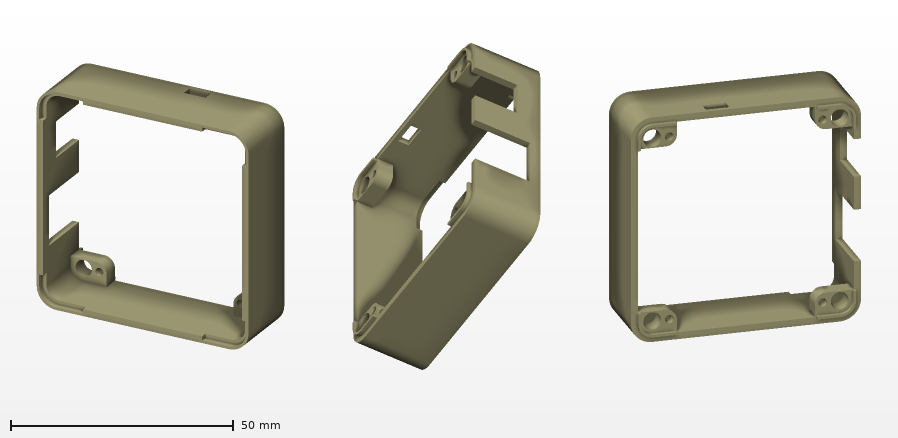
import cadquery as cq

side = 54.0
half = side / 2
total_depth = 18.0
lip_height = 1.0
body_depth = total_depth - lip_height
wall = 1.7
corner_radius = 5.0

boss_reach_x = 10.85
boss_reach_z = 7.35
boss_depth = 4.0
boss_radius = 2.7
large_hole_diameter = 4.15
small_hole_diameter = 2.0
hole_z = corner_radius
large_hole_x = corner_radius
small_hole_x = 9.0

rabbet_inset = 0.65
rabbet_reach_x = 11.8
rabbet_reach_z = 7.85
rabbet_depth = 1.5

lip_inset = 1.45
lip_thickness = 0.65
lip_reach_x = 10.5
lip_reach_z = 7.4

slot_x = 6.25
slot_width = 5.55
slot_length = 2.65
slot_back_margin = 1.2

left_notches = [
    (7.45, 16.45, 10.95),
    (-12.9, -0.5, 14.3),
]


def box_between(x_range, y_range, z_range):
    """Axis-aligned box given by its limits on each axis."""
    lows, highs = zip(x_range, y_range, z_range)
    lengths = [high - low for low, high in zip(lows, highs)]
    return cq.Workplane("XY").box(*lengths, centered=False).translate(lows)


def rounded_square(inset, y_start, y_end):
    """Prism along Y whose outline lies `inset` inside the outer outline."""
    reach = half - inset
    prism = box_between((-reach, reach), (y_start, y_end), (-reach, reach))
    return prism.edges("|Y").fillet(corner_radius - inset)


def ring(outer_inset, inner_inset, y_start, y_end):
    """Closed band between two inset outlines."""
    outer = rounded_square(outer_inset, y_start, y_end)
    return outer.cut(rounded_square(inner_inset, y_start, y_end))


def corner_block(reach_x, reach_z, y_start, y_end):
    """Block covering the lower left corner of the frame (low X, low Z)."""
    return box_between((-half, -half + reach_x), (y_start, y_end), (-half, -half + reach_z))


def at_four_corners(feature):
    """The lower left corner feature, mirrored to all four corners."""
    lower = feature.union(feature.mirror("YZ"))
    return lower.union(lower.mirror("XY"))


def corner_boss():
    block = corner_block(boss_reach_x, boss_reach_z, body_depth - boss_depth, body_depth)
    block = block.edges("|Y and >X and >Z").fillet(boss_radius)
    return block.intersect(rounded_square(wall / 2, 0, body_depth))


def corner_hole(x_from_side, diameter):
    centre = (-half + x_from_side, 0, -half + hole_z)
    return cq.Workplane("XZ", origin=centre).circle(diameter / 2).extrude(-total_depth)


def corner_rabbet():
    region = corner_block(rabbet_reach_x, rabbet_reach_z, 0, rabbet_depth)
    return region.intersect(ring(rabbet_inset, wall, 0, rabbet_depth))


def corner_lip():
    region = corner_block(lip_reach_x, lip_reach_z, body_depth, total_depth)
    return region.intersect(ring(lip_inset, lip_inset + lip_thickness, body_depth, total_depth))


def top_slot():
    y_end = body_depth - slot_back_margin
    return box_between(
        (slot_x - slot_width / 2, slot_x + slot_width / 2),
        (y_end - slot_length, y_end),
        (half - wall, half),
    )


def left_notch(z_bottom, z_top, depth):
    return box_between((-half, -half + wall), (body_depth - depth, body_depth), (z_bottom, z_top))


frame = ring(0, wall, 0, body_depth)
frame = frame.union(at_four_corners(corner_boss()))
frame = frame.union(at_four_corners(corner_lip()))
frame = frame.cut(at_four_corners(corner_rabbet()))
frame = frame.cut(at_four_corners(corner_hole(large_hole_x, large_hole_diameter)))
frame = frame.cut(at_four_corners(corner_hole(small_hole_x, small_hole_diameter)))
frame = frame.cut(top_slot())
for notch in left_notches:
    frame = frame.cut(left_notch(*notch))

result = frame